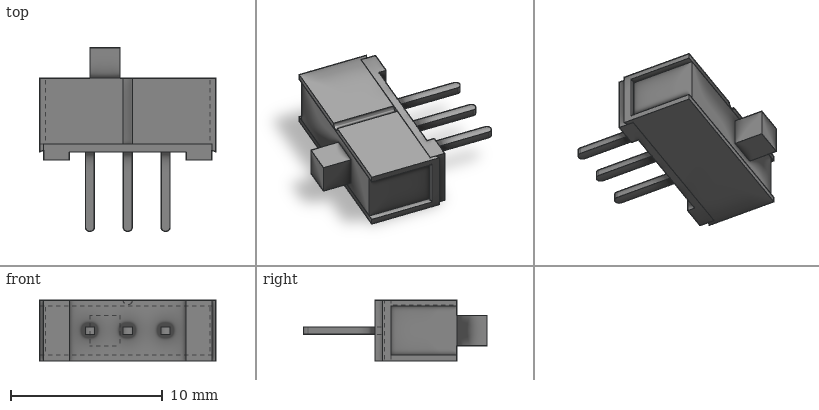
import cadquery as cq

shell_width = 11.6
height = 4.0
sheet = 0.4
groove_radius = 0.3

core_width = shell_width - 2 * sheet
core_height = height - 2 * sheet
flange_width = 11.07
flange_rear = -4.34
flange_front = -4.88
shell_end = flange_front
end_bevel = 0.12
foot_front = -5.4
foot_width = 1.7

slider_size = 2.0
slider_x = -1.5

pin_count = 3
pin_pitch = 2.49
pin_width = 0.6
pin_thickness = 0.5
pin_tip = slider_size - 12.1


def block(x_min, x_max, y_min, y_max, z_size):
    """Box with the given X and Y limits, centred on Z = 0."""
    return (
        cq.Workplane("XY")
        .box(x_max - x_min, y_max - y_min, z_size)
        .translate(((x_min + x_max) / 2, (y_min + y_max) / 2, 0))
    )


def make_flange():
    """Full-height plate that closes the pin end of the shell."""
    return block(-flange_width / 2, flange_width / 2, flange_front, flange_rear, height)


def make_shell():
    """Sheet sleeve with open side windows, bevelled side lips and a top groove."""
    half_width = shell_width / 2
    half_flange = flange_width / 2
    outer = (
        cq.Workplane("XY", origin=(0, 0, -height / 2))
        .polyline([
            (-half_width, 0),
            (half_width, 0),
            (half_width, shell_end),
            (half_flange, shell_end + end_bevel),
            (-half_flange, shell_end + end_bevel),
            (-half_width, shell_end),
        ])
        .close()
        .extrude(height)
    )
    opening = block(-half_width, half_width, flange_rear, 0, core_height)
    groove = (
        cq.Workplane("XZ", origin=(0, 0, height / 2))
        .circle(groove_radius)
        .extrude(-flange_rear)
    )
    return outer.cut(opening).cut(make_flange()).cut(groove).solids()


def make_base():
    """Core, flange and the two feet at the flange ends."""
    core = block(-core_width / 2, core_width / 2, flange_rear, 0, core_height)
    half_flange = flange_width / 2
    inner_edge = half_flange - foot_width
    left_foot = block(-half_flange, -inner_edge, foot_front, flange_front, height)
    right_foot = block(inner_edge, half_flange, foot_front, flange_front, height)
    return core.union(make_flange()).union(left_foot).union(right_foot).solids()


def make_slider():
    """Knob standing on the rear face of the base."""
    half = slider_size / 2
    return block(slider_x - half, slider_x + half, 0, slider_size, slider_size)


def make_pin(x):
    """Flat pin with a semicircular tip."""
    radius = pin_width / 2
    return (
        cq.Workplane("XY", origin=(x, 0, -pin_thickness / 2))
        .moveTo(-radius, flange_front)
        .lineTo(-radius, pin_tip + radius)
        .threePointArc((0, pin_tip), (radius, pin_tip + radius))
        .lineTo(radius, flange_front)
        .close()
        .extrude(pin_thickness)
    )


shell = make_shell()
base = make_base()
slider = make_slider()
pins = [make_pin((i - (pin_count - 1) / 2) * pin_pitch) for i in range(pin_count)]

result = cq.Compound.makeCompound([
    shell.val(),
    base.val(),
    slider.val(),
    *[pin.val() for pin in pins],
])